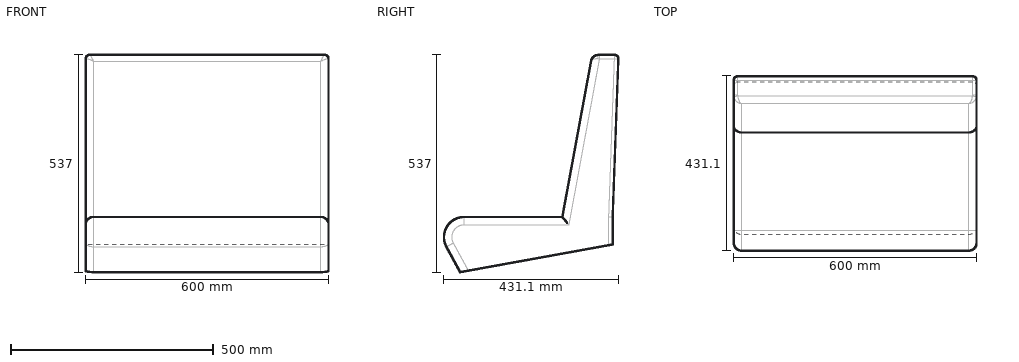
import cadquery as cq
import math

width = 600.0
height = 537.0
seat_height = 137.0
nose_radius = 100.0 / 2

toe_y = 40.0
back_y = 417.0
heel_z = 68.5
back_top_y = 431.5
seat_end_y = 292.0
backrest_front_y = 366.0

front_round = 20.0
rear_round = 10.0
pick_margin = 3.0


def side_profile():
    """Seat outline in the YZ plane, with the toe line tangent to the nose arc."""
    center_y = nose_radius
    center_z = seat_height - nose_radius
    toe_distance = math.hypot(toe_y - center_y, center_z)
    toe_angle = math.atan2(-center_z, toe_y - center_y)
    tangent_angle = toe_angle - math.acos(nose_radius / toe_distance)

    def on_nose(angle):
        return (
            center_y + nose_radius * math.cos(angle),
            center_z + nose_radius * math.sin(angle),
        )

    return (
        cq.Workplane("YZ")
        .moveTo(toe_y, 0)
        .lineTo(back_y, heel_z)
        .lineTo(back_y, seat_height)
        .lineTo(back_top_y, height)
        .lineTo(backrest_front_y, height)
        .lineTo(seat_end_y, seat_height)
        .lineTo(center_y, seat_height)
        .threePointArc(on_nose(math.pi), on_nose(tangent_angle))
        .close()
    )


def edges_near(body, points):
    """Edges whose centre lies close to one of the given (x, y, z) points."""
    found = []
    for x, y, z in points:
        selector = cq.selectors.BoxSelector(
            (x - pick_margin, y - pick_margin, z - pick_margin),
            (x + pick_margin, y + pick_margin, z + pick_margin),
        )
        found += body.edges(selector).vals()
    return found


def round_front(body):
    """Round the seat, nose and backrest front edges on both sides and along the top."""
    top_edge = edges_near(body, [(0, backrest_front_y, height)])
    side_edges = []
    for edge in body.faces("<X or >X").edges().vals():
        center = edge.Center()
        on_rear = center.y > back_y - pick_margin
        on_top = center.z > height - pick_margin
        on_bottom = center.z < heel_z and center.y > toe_y
        if not (on_rear or on_top or on_bottom):
            side_edges.append(edge)
    return body.newObject(top_edge + side_edges).fillet(front_round)


def round_rear(body):
    """Round the rear edges and the remaining edges of the backrest top."""
    points = [(0, back_top_y, height)]
    for x in (-width / 2, width / 2):
        points.append((x, back_y, (heel_z + seat_height) / 2))
        points.append((x, (back_y + back_top_y) / 2, (seat_height + height) / 2))
    top_side_edges = body.faces(">Z").edges("|Y").vals()
    return body.newObject(edges_near(body, points) + top_side_edges).fillet(rear_round)


cushion = side_profile().extrude(width / 2, both=True)
result = round_rear(round_front(cushion))